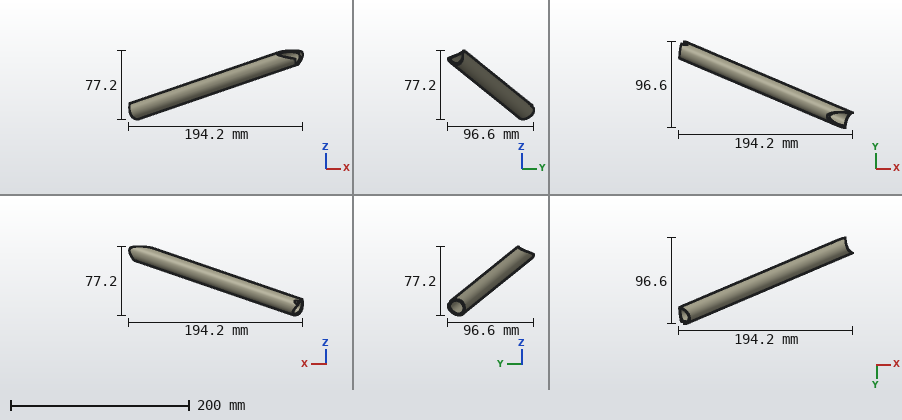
import cadquery as cq
import math

tube_centre = cq.Vector(0, -1.0, 1.5)
tube_direction = cq.Vector(1, -0.425, 0.343).normalized()
tube_radius = 10.0
wall = 1.85
blank_length = 271.6
cutter_length = 155.2

upper_saddles = [
    (cq.Vector(100.9, -44.0, 36.0), cq.Vector(0.95, -0.11, -0.28), 12.0),
    (cq.Vector(96.0, -42.3, 34.3), cq.Vector(0.41, 0, -0.91), 11.0),
]

lower_saddles = [
    (cq.Vector(-107.9, 43.5, -36.7), cq.Vector(0.57, 0.34, -0.75), 18.8),
]

notch_point = cq.Vector(-92.4, 47.0, -24.6)
notch_radius = 2.3
notch_slant = 25.0
notch_length = 58.2


def centred_cylinder(centre, direction, radius, length):
    """Cylinder whose axis is centred on a point and follows a direction."""
    axis = direction.normalized()
    start = centre - axis * (length / 2)
    return cq.Workplane(obj=cq.Solid.makeCylinder(radius, length, start, axis))


def make_tube():
    """Straight tube that runs past both end cuts."""
    blank = centred_cylinder(tube_centre, tube_direction, tube_radius, blank_length)
    bore = centred_cylinder(tube_centre, tube_direction, tube_radius - wall, blank_length)
    return blank.cut(bore)


def make_notch_cutter():
    """Cylinder entering the wall at a slant and leaving through the lower end."""
    offset = notch_point - tube_centre
    outward = (offset - tube_direction * offset.dot(tube_direction)).normalized()
    slant = math.radians(notch_slant)
    direction = tube_direction * math.cos(slant) + outward * math.sin(slant)
    return centred_cylinder(notch_point, direction, notch_radius, notch_length)


coped = make_tube()
for point, direction, radius in upper_saddles + lower_saddles:
    coped = coped.cut(centred_cylinder(point, direction, radius, cutter_length))
coped = coped.cut(make_notch_cutter())

between_cuts = max(coped.solids().vals(), key=lambda piece: piece.Volume())
result = cq.Workplane(obj=between_cuts)